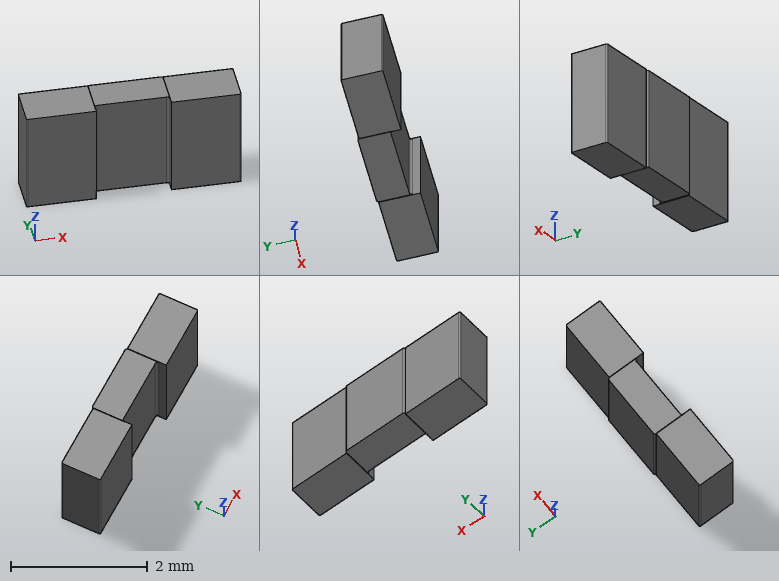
import cadquery as cq

length = 3.2
height = 1.6
terminal_length = 1.04
terminal_depth = 0.635
terminal_edge_radius = 0.022

overall_depth = 0.66
body_height = 1.568
body_depth = 0.5
corner_radius = 0.04
back_edge_radius = 0.032

front_y = -overall_depth / 2
back_y = overall_depth / 2
body_length = length - 2 * terminal_length


def terminal(side):
    """End block on the given X side (-1 or +1), with its outer vertical edges rounded."""
    center_x = side * (length - terminal_length) / 2
    outer_edges = "|Z and <X" if side < 0 else "|Z and >X"
    return (
        cq.Workplane("XY")
        .box(terminal_length, terminal_depth, height)
        .edges(outer_edges)
        .fillet(terminal_edge_radius)
        .translate((center_x, front_y + terminal_depth / 2, 0))
    )


def body():
    """Bridge between the terminals, with its back vertical edges rounded."""
    return (
        cq.Workplane("XY")
        .box(body_length, body_depth, body_height)
        .edges("|Z and >Y")
        .fillet(back_edge_radius)
        .translate((0, back_y - body_depth / 2, 0))
    )


def corner_fill(side):
    """Concave fillet where the front of the body meets a terminal."""
    corner_x = side * body_length / 2
    corner_y = back_y - body_depth
    tangent_x = corner_x - side * corner_radius
    tangent_y = corner_y - corner_radius
    diagonal = corner_radius * (1 - 0.5**0.5)
    middle = (corner_x - side * diagonal, corner_y - diagonal)
    return (
        cq.Workplane("XY")
        .workplane(offset=-body_height / 2)
        .moveTo(corner_x, corner_y)
        .lineTo(tangent_x, corner_y)
        .threePointArc(middle, (corner_x, tangent_y))
        .close()
        .extrude(body_height)
    )


result = body()
for end in (-1, 1):
    result = result.union(terminal(end)).union(corner_fill(end))